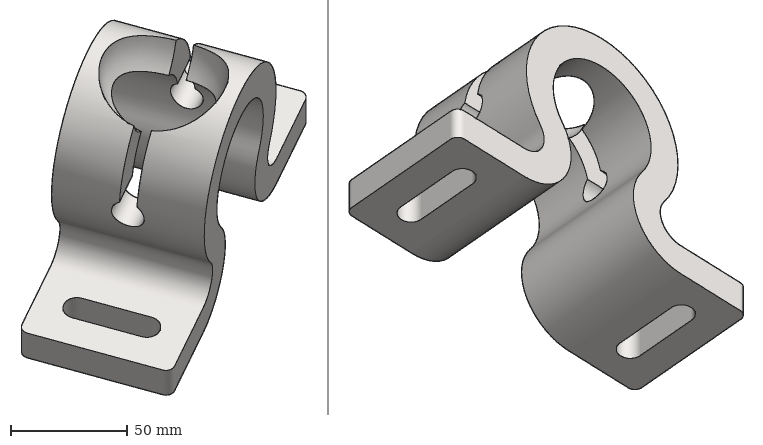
import cadquery as cq
import math

width = 70.0
overall_length = 172.0
thickness = 16.0
bore_radius = 29.0
axis_height = 61.0
foot_bend_inner_radius = 12.0
foot_corner_radius = 4.0

seat_radius = 28.0

relief_width = 8.0
relief_hole_diameter = 15.0

slot_length = 44.0
slot_width = 12.0
slot_offset = 65.0

crown_radius = bore_radius + thickness
crown_height = axis_height + crown_radius
foot_bend_outer_radius = foot_bend_inner_radius + thickness
bend_height = foot_bend_outer_radius

center_distance = crown_radius + foot_bend_inner_radius
bend_drop = axis_height - bend_height
bend_offset = math.sqrt(center_distance**2 - bend_drop**2)
tangent_angle = math.asin(bend_drop / center_distance)
foot_end = overall_length / 2


def crown_tangent(radius, side):
    """Point where a crown arc of this radius meets the foot bend."""
    return (
        side * radius * math.cos(tangent_angle),
        axis_height - radius * math.sin(tangent_angle),
    )


def bend_middle(radius, side):
    """Midpoint of a foot bend arc, between the crown tangent and the flat foot."""
    start_angle = math.pi - tangent_angle
    end_angle = 3 * math.pi / 2
    middle_angle = (start_angle + end_angle) / 2
    return (
        side * (bend_offset + radius * math.cos(middle_angle)),
        bend_height + radius * math.sin(middle_angle),
    )


def make_body():
    left, right = -1, 1
    profile = (
        cq.Workplane("YZ")
        .moveTo(foot_end, 0)
        .lineTo(foot_end, thickness)
        .lineTo(bend_offset, thickness)
        .threePointArc(
            bend_middle(foot_bend_inner_radius, right), crown_tangent(crown_radius, right)
        )
        .threePointArc((0, crown_height), crown_tangent(crown_radius, left))
        .threePointArc(bend_middle(foot_bend_inner_radius, left), (-bend_offset, thickness))
        .lineTo(-foot_end, thickness)
        .lineTo(-foot_end, 0)
        .lineTo(-bend_offset, 0)
        .threePointArc(
            bend_middle(foot_bend_outer_radius, left), crown_tangent(bore_radius, left)
        )
        .threePointArc((0, axis_height + bore_radius), crown_tangent(bore_radius, right))
        .threePointArc(bend_middle(foot_bend_outer_radius, right), (bend_offset, 0))
        .close()
    )
    return profile.extrude(width / 2, both=True)


def round_foot_corners(body):
    return body.faces("<Y or >Y").edges("|Z").fillet(foot_corner_radius)


def make_ball_seat():
    return cq.Workplane("XY").sphere(seat_radius).translate((0, 0, crown_height))


def make_keyhole():
    slit = cq.Workplane("XY", origin=(0, 0, axis_height)).box(
        relief_width, overall_length, crown_radius, centered=(True, True, False)
    )
    hole = (
        cq.Workplane("XZ", origin=(0, 0, axis_height))
        .circle(relief_hole_diameter / 2)
        .extrude(overall_length / 2, both=True)
    )
    return slit.union(hole)


def make_foot_slots():
    return (
        cq.Workplane("XY")
        .pushPoints([(0, -slot_offset), (0, slot_offset)])
        .slot2D(slot_length, slot_width)
        .extrude(thickness)
    )


body = round_foot_corners(make_body())
result = body.cut(make_ball_seat()).cut(make_keyhole()).cut(make_foot_slots())